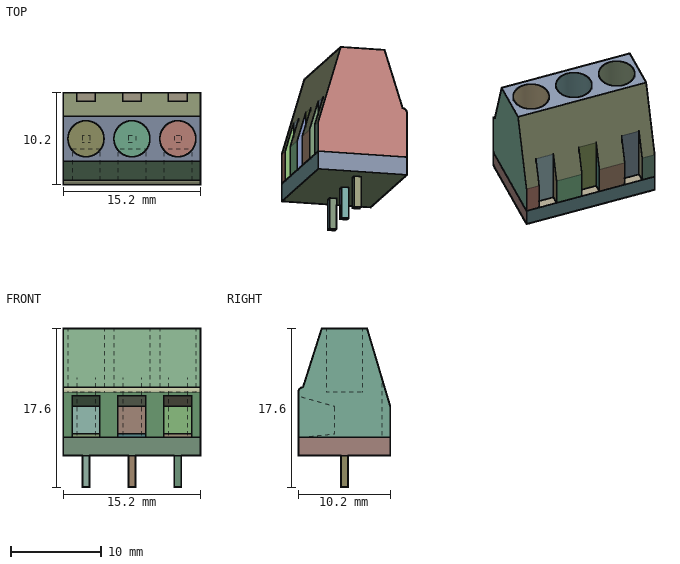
import cadquery as cq

POLES = 3
PITCH = 5.09
WIDTH = 15.25
DEPTH = 10.2
TOTAL_HEIGHT = 17.6

PIN_LENGTH = 3.48
PIN_SIDE = 0.81
BASE_HEIGHT = 2.02

TOP_HALF_DEPTH = 2.52
REAR_SLOPE_HEIGHT = 8.71
FRONT_SLOPE_HEIGHT = 6.51
LIP_DEPTH = 0.51
LIP_HEIGHT = 0.56

HOLE_DIAMETER = 4.0
HOLE_DEPTH = 7.04

WINDOW_WIDTH = 3.1
WINDOW_HEIGHT = 4.6
WINDOW_BACK_HEIGHT = 3.47
WINDOW_FLOOR_RISE = 0.4
WINDOW_DEPTH = 4.0

SLOT_WIDTH = 2.08
SLOT_DEPTH = 0.97

BODY_HEIGHT = TOTAL_HEIGHT - PIN_LENGTH
FRONT_Y = -DEPTH / 2
REAR_Y = DEPTH / 2

POLE_X = [(i - (POLES - 1) / 2) * PITCH for i in range(POLES)]


def extrude_along_x(outline, width, center_x=0):
    """Extrude a closed YZ outline symmetrically about the given X."""
    return outline.extrude(width / 2, both=True).translate((center_x, 0, 0))


def make_base():
    """Base plate with one square pin per pole below it."""
    base = cq.Workplane("XY").box(WIDTH, DEPTH, BASE_HEIGHT, centered=(True, True, False))
    for x in POLE_X:
        pin = (
            cq.Workplane("XY")
            .center(x, 0)
            .rect(PIN_SIDE, PIN_SIDE)
            .extrude(-PIN_LENGTH)
        )
        base = base.union(pin)
    return base


def housing_block():
    """Tapered block with a rounded lip where the front slope meets the front wall."""
    lip_z = BODY_HEIGHT - FRONT_SLOPE_HEIGHT
    lip_radius = (LIP_DEPTH**2 + LIP_HEIGHT**2) / (2 * LIP_DEPTH)
    outline = (
        cq.Workplane("YZ")
        .moveTo(FRONT_Y, BASE_HEIGHT)
        .lineTo(REAR_Y, BASE_HEIGHT)
        .lineTo(REAR_Y, BODY_HEIGHT - REAR_SLOPE_HEIGHT)
        .lineTo(TOP_HALF_DEPTH, BODY_HEIGHT)
        .lineTo(-TOP_HALF_DEPTH, BODY_HEIGHT)
        .lineTo(FRONT_Y + LIP_DEPTH, lip_z)
        .radiusArc((FRONT_Y, lip_z - LIP_HEIGHT), -lip_radius)
        .close()
    )
    return extrude_along_x(outline, WIDTH)


def screw_hole(x):
    """Blind round hole from the top."""
    return (
        cq.Workplane("XY", origin=(x, 0, BODY_HEIGHT))
        .circle(HOLE_DIAMETER / 2)
        .extrude(-HOLE_DEPTH)
    )


def wire_window(x):
    """Front window at base level, its floor rising and its ceiling falling toward the back."""
    back_y = FRONT_Y + WINDOW_DEPTH
    outline = cq.Workplane("YZ").polyline([
        (FRONT_Y, BASE_HEIGHT),
        (back_y, BASE_HEIGHT + WINDOW_FLOOR_RISE),
        (back_y, BASE_HEIGHT + WINDOW_BACK_HEIGHT),
        (FRONT_Y, BASE_HEIGHT + WINDOW_HEIGHT),
    ]).close()
    return extrude_along_x(outline, WINDOW_WIDTH, x)


def test_slot(x):
    """Rear slot standing on the base and open through the rear slope."""
    return cq.Workplane("XY", origin=(x, REAR_Y - SLOT_DEPTH / 2, BASE_HEIGHT)).box(
        SLOT_WIDTH, SLOT_DEPTH, BODY_HEIGHT - BASE_HEIGHT, centered=(True, True, False)
    )


def make_housing():
    """Upper housing with a screw hole, wire window and test slot for each pole."""
    housing = housing_block()
    for x in POLE_X:
        housing = housing.cut(screw_hole(x)).cut(wire_window(x)).cut(test_slot(x))
    return housing


base = make_base()
housing = make_housing()

result = cq.Compound.makeCompound([base.val(), housing.val()])